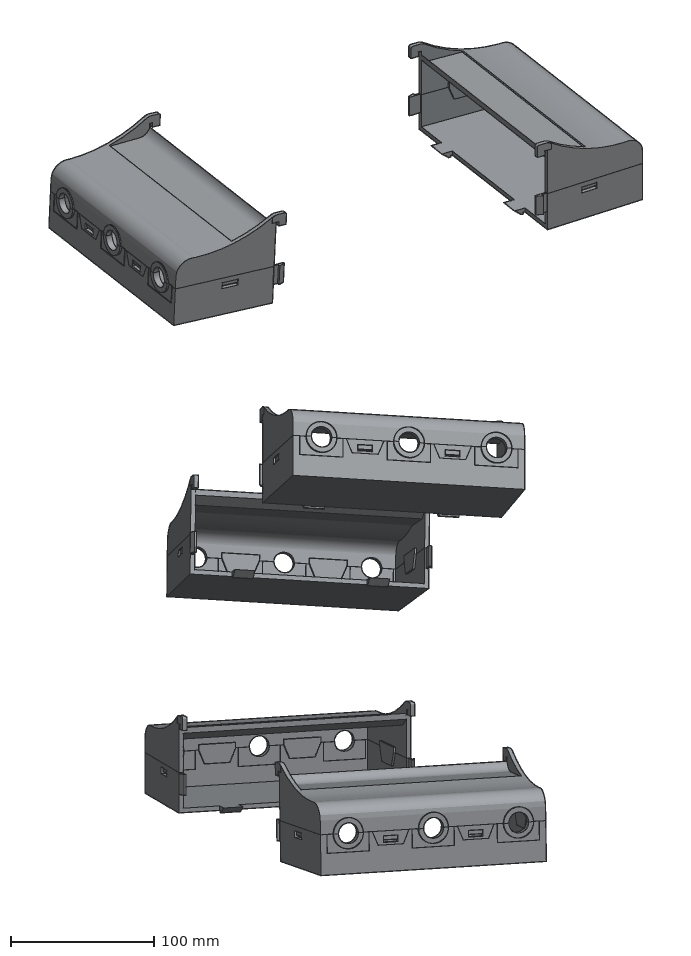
import cadquery as cq
import math


DEPTH = 79.5
OUTER_LENGTH = 166.3
OPEN_LENGTH = 171.3
WALL = 3.3
SEAM_HEIGHT = 28.8

NOSE_HEIGHT = 38.6
BEVEL_DEPTH = 0.6
BEVEL_TOP = 42.3
NOSE_BULGE = (4.6, 47.6)
SWEEP_START = 14.5
SWEEP_HEIGHT = 50.2
SWEEP_RADIUS = 116.0
SWEEP_END = 77.2
CREASE_DEPTH = 46.0
CREASE_STEP = 0.7
LIP_START = 72.0
PANEL_HEIGHT = 54.2
LIP_BULGE = (76.8, 56.4)
LIP_HEIGHT = 60.6
LIP_UNDERSIDE = 56.4
SIDE_TOP = 69.3

PORT_PITCH = 62.8
PORT_RADIUS = 7.3
COLLAR_RADIUS = 11.0
COLLAR_PROJECTION = 1.0
PANEL_WIDTH = 31.0
PANEL_BOTTOM = 15.4
PANEL_OFFSET = 0.6

TONGUE_TOP_WIDTH = 27.0
TONGUE_BOTTOM_WIDTH = 18.7
TONGUE_BOTTOM = 18.9
TONGUE_THICKNESS = 1.5
TONGUE_OVERLAP = 4.0
TONGUE_RECESS = 0.12
WINDOW_BOTTOM = 20.6
WINDOW_TOP = 25.2
FRONT_WINDOW_WIDTH = 10.5
SIDE_WINDOW_WIDTH = 12.8
SIDE_LATCH_DEPTH = 44.4
NUB_INSET = 1.2
NUB_BOTTOM = 22.2

HOOK_REACH = 8.3
HOOK_TOOTH_START = 2.2
HOOK_BOTTOM = 59.9
HOOK_GAP_TOP = 63.3
HOOK_ROUND = 1.5
TAB_REACH = 8.8
TAB_BOTTOM = 14.0
TAB_THICKNESS = 2.2
TAB_INSET = 0.8
TAB_ROOT = 3.0
BARB_START = 3.9
BARB_HEIGHT = 1.2
CLIP_PITCH = 96.7
CLIP_WIDTH = 14.4
CLIP_REACH = 8.6
CLIP_ROOT = 2.0
CLIP_BARB_START = 1.2
CLIP_BARB_END = 3.0
CLIP_BARB_DROP = 1.2

TURN = -2.5
FRONT_TILT = -2.7
FRONT_PLACE = (-9.43, -191.115, 8.96)
REAR_PLACE = (9.43, 191.115, 0.0)

CLEAR = 20.0
TALL = 100.0

HALF_DRAFT = (OPEN_LENGTH - OUTER_LENGTH) / 2


def half_length(y):
    return OUTER_LENGTH / 2 + HALF_DRAFT * y / DEPTH


def plan(inset, end=DEPTH):
    """Tall block with the box's tapered plan, its three closed sides moved inwards by the inset."""
    near = half_length(inset) - inset
    far = half_length(end) - inset
    corners = [(-near, inset), (near, inset), (far, end), (-far, end)]
    return cq.Workplane("XY").polyline(corners).close().extrude(TALL)


def band(outer_inset, inner_inset):
    """Skin of the three closed sides between two insets."""
    return plan(outer_inset).cut(plan(inner_inset, DEPTH + CLEAR))


def lengthwise(outline, length=OPEN_LENGTH + 2 * CLEAR, middle=0.0):
    """Extrude a closed outline in the YZ plane, centred on X = middle."""
    return outline.extrude(length / 2, both=True).translate((middle, 0, 0))


def sweep_height(y):
    run = y - SWEEP_START
    return SWEEP_HEIGHT + SWEEP_RADIUS - math.sqrt(SWEEP_RADIUS**2 - run**2)


def nose_and_sweep(sweep_end):
    """Open outline: up the outer wall, round the nose and along the concave sweep of the top."""
    sweep_middle = (SWEEP_START + sweep_end) / 2
    return (
        cq.Workplane("YZ")
        .moveTo(DEPTH, 0)
        .lineTo(0, 0)
        .lineTo(0, NOSE_HEIGHT)
        .lineTo(BEVEL_DEPTH, BEVEL_TOP)
        .threePointArc(NOSE_BULGE, (SWEEP_START, SWEEP_HEIGHT))
        .threePointArc((sweep_middle, sweep_height(sweep_middle)), (sweep_end, sweep_height(sweep_end)))
    )


def roof_outline():
    return (
        nose_and_sweep(CREASE_DEPTH)
        .lineTo(CREASE_DEPTH + CREASE_STEP, sweep_height(CREASE_DEPTH) - CREASE_STEP)
        .lineTo(LIP_START, PANEL_HEIGHT)
        .threePointArc(LIP_BULGE, (DEPTH, LIP_HEIGHT))
        .close()
    )


def side_outline():
    return nose_and_sweep(SWEEP_END).lineTo(DEPTH, SIDE_TOP).close()


def cavity_outline():
    """Inside of the box: the roof outline moved in by the wall, with a plain slope under the lip."""
    nose_offset = WALL / math.sqrt(2)
    middle = (SWEEP_START + CREASE_DEPTH) / 2
    return (
        cq.Workplane("YZ")
        .moveTo(DEPTH + CLEAR, WALL)
        .lineTo(WALL, WALL)
        .lineTo(WALL, NOSE_HEIGHT)
        .threePointArc(
            (NOSE_BULGE[0] + nose_offset, NOSE_BULGE[1] - nose_offset),
            (SWEEP_START, SWEEP_HEIGHT - WALL),
        )
        .threePointArc(
            (middle, sweep_height(middle) - WALL),
            (CREASE_DEPTH, sweep_height(CREASE_DEPTH) - WALL),
        )
        .lineTo(LIP_START, PANEL_HEIGHT - WALL)
        .lineTo(DEPTH, LIP_UNDERSIDE)
        .lineTo(DEPTH + CLEAR, LIP_UNDERSIDE)
        .close()
    )


def outer_wall_block():
    return cq.Workplane("XY").box(OPEN_LENGTH, 2 * WALL, 2 * TALL)


def shell():
    """Whole hollow box, before it is divided at the seam."""
    hollow = lengthwise(cavity_outline()).intersect(plan(WALL, DEPTH + CLEAR))
    box = lengthwise(roof_outline()).intersect(plan(0)).cut(hollow)
    sides = plan(0).cut(plan(WALL, DEPTH + CLEAR).union(outer_wall_block()))
    return box.union(lengthwise(side_outline()).intersect(sides))


def port_positions():
    return [-PORT_PITCH, 0.0, PORT_PITCH]


def port_cylinder(x, radius, start, end):
    """Cylinder along Y at a port, on the seam."""
    return cq.Workplane("XZ", origin=(x, start, SEAM_HEIGHT)).circle(radius).extrude(start - end)


def collars():
    rings = cq.Workplane("XY")
    for x in port_positions():
        rings = rings.add(port_cylinder(x, COLLAR_RADIUS, -COLLAR_PROJECTION, WALL))
    return rings.combine()


def port_holes():
    holes = cq.Workplane("XY")
    for x in port_positions():
        holes = holes.add(port_cylinder(x, PORT_RADIUS, -CLEAR, CLEAR))
    return holes.combine()


def panel_blocks():
    """Blocks through the outer wall under the ports, where the wall is set inwards."""
    height = SEAM_HEIGHT - PANEL_BOTTOM
    blocks = cq.Workplane("XY")
    for x in port_positions():
        block = cq.Workplane("XY").box(PANEL_WIDTH, CLEAR, height, centered=(True, True, False))
        blocks = blocks.add(block.translate((x, 0, PANEL_BOTTOM)))
    return blocks.combine()


def window_outline(plane, width, bottom):
    middle = (bottom + WINDOW_TOP) / 2
    return cq.Workplane(plane).center(0, middle).rect(width, WINDOW_TOP - bottom)


def tongue_outline(plane, top):
    """Trapezium that narrows downwards from the seam, with a straight part above it."""
    outline = cq.Workplane(plane).moveTo(-TONGUE_BOTTOM_WIDTH / 2, TONGUE_BOTTOM)
    outline = outline.lineTo(TONGUE_BOTTOM_WIDTH / 2, TONGUE_BOTTOM)
    outline = outline.lineTo(TONGUE_TOP_WIDTH / 2, SEAM_HEIGHT)
    if top > SEAM_HEIGHT:
        outline = outline.lineTo(TONGUE_TOP_WIDTH / 2, top).lineTo(-TONGUE_TOP_WIDTH / 2, top)
    return outline.lineTo(-TONGUE_TOP_WIDTH / 2, SEAM_HEIGHT).close()


def at_front_latches(outline):
    """Blocks through the outer wall, midway between neighbouring ports."""
    block = outline.extrude(CLEAR, both=True)
    return block.translate((-PORT_PITCH / 2, 0, 0)).union(block.translate((PORT_PITCH / 2, 0, 0)))


def at_side_latches(outline):
    """Blocks through both side walls."""
    return outline.extrude(OPEN_LENGTH, both=True).translate((0, SIDE_LATCH_DEPTH, 0))


def latch_openings(bottom):
    """Blocks the size of the latch windows, from the given height up to the top of the windows."""
    front = at_front_latches(window_outline("XZ", FRONT_WINDOW_WIDTH, bottom))
    return front.union(at_side_latches(window_outline("YZ", SIDE_WINDOW_WIDTH, bottom)))


def tongues():
    top = SEAM_HEIGHT + TONGUE_OVERLAP
    blocks = at_front_latches(tongue_outline("XZ", top)).union(at_side_latches(tongue_outline("YZ", top)))
    return band(WALL, WALL + TONGUE_THICKNESS).intersect(blocks)


def hook(side):
    """Hook that carries a side wall's top edge past the open end and turns down."""
    outline = (
        cq.Workplane("YZ")
        .moveTo(DEPTH - WALL, HOOK_GAP_TOP)
        .lineTo(DEPTH - WALL, SIDE_TOP - HOOK_ROUND)
        .lineTo(DEPTH, SIDE_TOP)
        .lineTo(DEPTH + HOOK_REACH - HOOK_ROUND, SIDE_TOP)
        .tangentArcPoint((HOOK_ROUND, -HOOK_ROUND))
        .lineTo(DEPTH + HOOK_REACH, HOOK_BOTTOM)
        .lineTo(DEPTH + HOOK_TOOTH_START, HOOK_BOTTOM)
        .lineTo(DEPTH + HOOK_TOOTH_START, HOOK_GAP_TOP)
        .close()
    )
    middle = side * (half_length(DEPTH) - WALL / 2)
    return lengthwise(outline, WALL, middle)


def side_tab(side):
    """Upright tab past the open end, with a barb on its outer face."""
    outer = half_length(DEPTH)
    end = DEPTH + TAB_REACH
    barb = DEPTH + BARB_START
    inner = outer - TAB_THICKNESS
    points = [
        (inner, DEPTH - TAB_ROOT),
        (outer - TAB_INSET, DEPTH - TAB_ROOT),
        (outer - TAB_INSET, barb),
        (outer + BARB_HEIGHT, barb),
        (outer - TAB_INSET, end),
        (inner, end),
    ]
    outline = cq.Workplane("XY").polyline([(side * x, y) for x, y in points]).close()
    return outline.extrude(SEAM_HEIGHT - TAB_BOTTOM).translate((0, 0, TAB_BOTTOM))


def floor_clip(x):
    """Clip that continues the floor past the open end, with a barb underneath."""
    points = [
        (DEPTH - CLIP_ROOT, 0),
        (DEPTH + CLIP_BARB_START, 0),
        (DEPTH + CLIP_BARB_START, -CLIP_BARB_DROP),
        (DEPTH + CLIP_BARB_END, -CLIP_BARB_DROP),
        (DEPTH + CLIP_REACH, WALL),
        (DEPTH - CLIP_ROOT, WALL),
    ]
    return lengthwise(cq.Workplane("YZ").polyline(points).close(), CLIP_WIDTH, x)


def below_seam():
    size = 2 * OPEN_LENGTH
    return cq.Workplane("XY").box(size, size, TALL).translate((0, 0, SEAM_HEIGHT - TALL / 2))


def make_tray():
    tray = shell().intersect(below_seam())
    panels = panel_blocks()
    tray = tray.cut(band(0, PANEL_OFFSET).intersect(panels))
    tray = tray.union(band(WALL, WALL + PANEL_OFFSET).intersect(panels))
    tray = tray.cut(band(0, TONGUE_RECESS).intersect(at_front_latches(tongue_outline("XZ", SEAM_HEIGHT))))
    tray = tray.union(collars().intersect(below_seam())).cut(port_holes()).cut(latch_openings(WINDOW_BOTTOM))
    for side in (-1, 1):
        tray = tray.union(side_tab(side)).union(floor_clip(side * CLIP_PITCH / 2))
    return tray


def make_cover():
    cover = shell().cut(below_seam())
    cover = cover.union(collars().cut(below_seam())).cut(port_holes())
    nubs = band(NUB_INSET, WALL).intersect(latch_openings(NUB_BOTTOM))
    cover = cover.union(tongues()).union(nubs)
    for side in (-1, 1):
        cover = cover.union(hook(side))
    return cover


def place_front(body):
    tilted = body.rotate((0, 0, 0), (1, 0, 0), FRONT_TILT)
    return tilted.rotate((0, 0, 0), (0, 0, 1), TURN).translate(FRONT_PLACE)


def place_rear(body):
    return body.rotate((0, 0, 0), (0, 0, 1), 180 + TURN).translate(REAR_PLACE)


tray = make_tray()
cover = make_cover()

bodies = []
for place in (place_front, place_rear):
    for body in (tray, cover):
        bodies.append(place(body).solids().val())

result = cq.Compound.makeCompound(bodies)